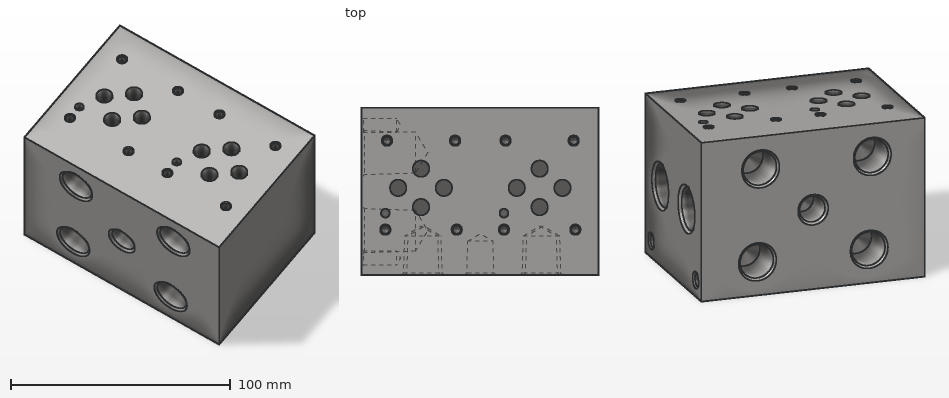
import cadquery as cq
import math

LENGTH = 107.95
WIDTH = 76.2
HEIGHT = 76.2

FRONT = -WIDTH / 2
LEFT = -LENGTH / 2
MID_HEIGHT = HEIGHT / 2

STATION_PITCH = 53.98
STATION_CENTRES = (-STATION_PITCH / 2, STATION_PITCH / 2)

DRILL_POINT_ANGLE = 118.0
COUNTERSINK_ANGLE = 90.0

PIPE_TAPER = 1 / 16

WORK_PORT_MOUTH = 18.2
WORK_PORT_DIAMETER = 16.1
WORK_PORT_DRILL = 15.05
PORT_A_OFFSET = 0.1
PORT_B_OFFSET = 1.6
PORT_A_HEIGHT = 16.1
PORT_B_HEIGHT = 60.5

GAUGE_PORT_MOUTH = 14.6
GAUGE_PORT_DIAMETER = 12.3
GAUGE_PORT_DRILL = 11.4

END_PORT_MOUTH = 22.7
END_PORT_DIAMETER = 20.1
END_PORT_DRILL = 18.65
END_PORT_SPREAD = 35.5

MOUNT_HOLE_DIAMETER = 6.41
MOUNT_HOLE_MOUTH = 8.0
MOUNT_HOLE_DEPTH = 15.0
MOUNT_HOLE_INSET = 7.92

VALVE_PATTERN_SHIFT = 0.15
VALVE_PATTERN_Y = 1.6
VALVE_PORT_DIAMETER = 7.49
VALVE_PORT_DEPTH = 12.0
VALVE_PORT_REACH_X = 10.4
VALVE_PORT_REACH_Y = 8.75
BOLT_DIAMETER = 3.68
BOLT_MOUTH = 4.8
BOLT_DEPTH = 12.0
BACK_BOLT_Y = 21.5
BACK_BOLT_REACH = 15.5
BOLT_ROW_SPACING = 40.5
FRONT_BOLT_Y = BACK_BOLT_Y - BOLT_ROW_SPACING
FRONT_BOLT_REACH = 16.25
PIN_DIAMETER = 4.01
PIN_DEPTH = 4.0
PIN_TO_BOLT = 7.5


def half_angle_cot(angle):
    """Axial length per unit of radius for a cone of the given full angle."""
    return 1 / math.tan(math.radians(angle / 2))


def bored_hole(mouth, diameter, end_diameter, wall_depth):
    """Countersunk blind hole with a drill point, bored down from the origin.

    The wall runs from diameter, at the foot of the countersink, to end_diameter.
    """
    sink_depth = (mouth - diameter) / 2 * half_angle_cot(COUNTERSINK_ANGLE)
    wall_end = sink_depth + wall_depth
    tip_depth = wall_end + end_diameter / 2 * half_angle_cot(DRILL_POINT_ANGLE)
    profile = (
        cq.Workplane("XZ")
        .moveTo(0, 0)
        .lineTo(mouth / 2, 0)
        .lineTo(diameter / 2, -sink_depth)
        .lineTo(end_diameter / 2, -wall_end)
        .lineTo(0, -tip_depth)
        .close()
    )
    return profile.revolve(360, (0, 0, 0), (0, 1, 0))


def drilled_hole(mouth, diameter, wall_depth):
    """Countersunk blind hole with a straight wall."""
    return bored_hole(mouth, diameter, diameter, wall_depth)


def pipe_port(mouth, diameter, drill):
    """Countersunk blind hole whose wall tapers down to the drill diameter."""
    return bored_hole(mouth, diameter, drill, (diameter - drill) / PIPE_TAPER)


def cut_front(block, hole, x, z):
    """Cut a hole into the front face."""
    tool = hole.rotate((0, 0, 0), (1, 0, 0), 90)
    return block.cut(tool.translate((x, FRONT, z)))


def cut_left(block, hole, y, z):
    """Cut a hole into the left end."""
    tool = hole.rotate((0, 0, 0), (0, 1, 0), -90)
    return block.cut(tool.translate((LEFT, y, z)))


def cut_top(block, hole, x, y):
    """Cut a hole into the top face."""
    return block.cut(hole.translate((x, y, HEIGHT)))


def flat_hole(diameter, depth):
    """Plain flat-bottomed hole, bored down from the origin."""
    return cq.Workplane("XY").circle(diameter / 2).extrude(-depth)


def add_front_ports(block):
    """A and B ports for each station, with the gauge port between them."""
    work_port = pipe_port(WORK_PORT_MOUTH, WORK_PORT_DIAMETER, WORK_PORT_DRILL)
    for centre in STATION_CENTRES:
        block = cut_front(block, work_port, centre + PORT_A_OFFSET, PORT_A_HEIGHT)
        block = cut_front(block, work_port, centre + PORT_B_OFFSET, PORT_B_HEIGHT)
    gauge_port = pipe_port(GAUGE_PORT_MOUTH, GAUGE_PORT_DIAMETER, GAUGE_PORT_DRILL)
    return cut_front(block, gauge_port, 0, MID_HEIGHT)


def add_left_end_holes(block):
    """Pressure and tank ports at mid height, mounting holes in the lower corners."""
    end_port = pipe_port(END_PORT_MOUTH, END_PORT_DIAMETER, END_PORT_DRILL)
    mount_hole = drilled_hole(MOUNT_HOLE_MOUTH, MOUNT_HOLE_DIAMETER, MOUNT_HOLE_DEPTH)
    for side in (-1, 1):
        block = cut_left(block, end_port, side * END_PORT_SPREAD / 2, MID_HEIGHT)
        mount_y = side * (WIDTH / 2 - MOUNT_HOLE_INSET)
        block = cut_left(block, mount_hole, mount_y, MOUNT_HOLE_INSET)
    return block


def add_valve_pattern(block, centre):
    """Four flow ports, four bolt holes and one locating pin hole for one valve."""
    flow_port = flat_hole(VALVE_PORT_DIAMETER, VALVE_PORT_DEPTH)
    bolt_hole = drilled_hole(BOLT_MOUTH, BOLT_DIAMETER, BOLT_DEPTH)
    pin_hole = flat_hole(PIN_DIAMETER, PIN_DEPTH)
    for side in (-1, 1):
        block = cut_top(block, flow_port, centre + side * VALVE_PORT_REACH_X, VALVE_PATTERN_Y)
        block = cut_top(block, flow_port, centre, VALVE_PATTERN_Y + side * VALVE_PORT_REACH_Y)
        back_x = centre + side * BACK_BOLT_REACH
        block = cut_top(block, bolt_hole, back_x, VALVE_PATTERN_Y + BACK_BOLT_Y)
        front_x = centre + side * FRONT_BOLT_REACH
        block = cut_top(block, bolt_hole, front_x, VALVE_PATTERN_Y + FRONT_BOLT_Y)
    pin_y = VALVE_PATTERN_Y + FRONT_BOLT_Y + PIN_TO_BOLT
    return cut_top(block, pin_hole, centre - FRONT_BOLT_REACH, pin_y)


block = cq.Workplane("XY").box(LENGTH, WIDTH, HEIGHT, centered=(True, True, False))
block = add_front_ports(block)
block = add_left_end_holes(block)
for station_centre in STATION_CENTRES:
    block = add_valve_pattern(block, station_centre + VALVE_PATTERN_SHIFT)

result = block